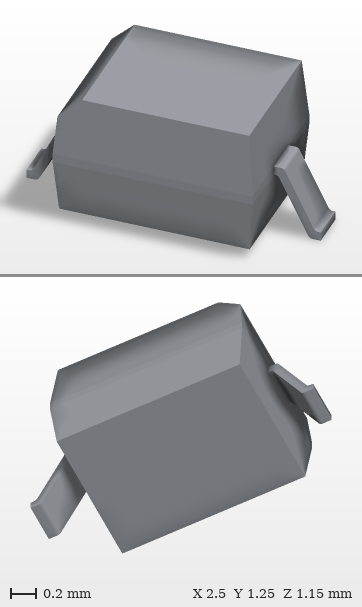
import cadquery as cq
import math

span = 2.5
body_length = 1.7
body_width = 1.25
body_bottom = 0.075
body_top = 1.15
draft_angle = 5.0

belt_top = 0.612
lead_thickness = 0.078
belt_bottom = belt_top - lead_thickness

bevel_top_x = -0.618
bevel_foot_z = 0.955

lead_width = 0.325
lead_slope = 63.5
shoulder_x = 0.935
bend_radius = 0.04


def drafted_block(base_z, height):
    """Block on the belt outline that narrows away from base_z; negative height goes down."""
    inset = abs(height) * math.tan(math.radians(draft_angle))
    return (
        cq.Workplane("XY", origin=(0, 0, base_z))
        .rect(body_length, body_width)
        .workplane(offset=height)
        .rect(body_length - 2 * inset, body_width - 2 * inset)
        .loft(ruled=True, combine=True)
    )


def bevel_cutter():
    """Triangular prism that removes the top -X edge of the housing."""
    wall_x = -body_length / 2 + (bevel_foot_z - belt_top) * math.tan(math.radians(draft_angle))
    run = bevel_top_x - wall_x
    rise = body_top - bevel_foot_z
    return (
        cq.Workplane("XZ")
        .moveTo(wall_x - run, bevel_foot_z - rise)
        .lineTo(bevel_top_x + run, body_top + rise)
        .lineTo(wall_x - run, body_top + rise)
        .close()
        .extrude(body_width / 2, both=True)
    )


def make_housing():
    belt = (
        cq.Workplane("XY", origin=(0, 0, belt_bottom))
        .rect(body_length, body_width)
        .extrude(lead_thickness)
    )
    upper = drafted_block(belt_top, body_top - belt_top)
    lower = drafted_block(belt_bottom, body_bottom - belt_bottom)
    return belt.union(upper).union(lower).cut(bevel_cutter())


def make_lead(side):
    """Gull-wing lead that meets the housing wall; side is +1 or -1 along X."""
    slope = math.radians(lead_slope)
    drop_run = (belt_top - lead_thickness) / math.tan(slope)
    corner_shift = lead_thickness * math.tan(slope / 2)
    foot_x = shoulder_x + drop_run
    outline = [
        (body_length / 2, belt_top),
        (shoulder_x, belt_top),
        (foot_x, lead_thickness),
        (span / 2, lead_thickness),
        (span / 2, 0),
        (foot_x - corner_shift, 0),
        (shoulder_x - corner_shift, belt_bottom),
        (body_length / 2, belt_bottom),
    ]
    bend_corners = [outline[1], outline[2], outline[5], outline[6]]
    lead = (
        cq.Workplane("XZ")
        .polyline([(side * x, z) for x, z in outline])
        .close()
        .extrude(lead_width / 2, both=True)
    )
    for x, z in bend_corners:
        edge = cq.selectors.NearestToPointSelector((side * x, 0, z))
        lead = lead.edges("|Y").edges(edge).fillet(bend_radius)
    return lead


housing = make_housing()
leads = [make_lead(side) for side in (-1, 1)]

result = cq.Compound.makeCompound([housing.val(), *[lead.val() for lead in leads]])